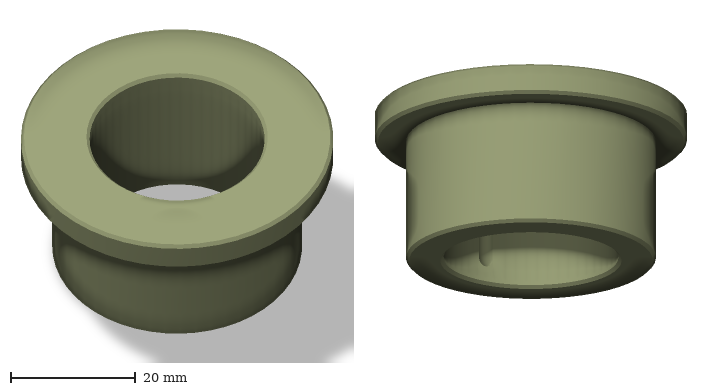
import cadquery as cq

flange_diameter = 50
body_diameter = 40
bore_diameter = 28
total_height = 25
flange_thickness = 5
edge_chamfer = 0.5

groove_radius = 1.25
groove_end_margin = 3

body_height = total_height - flange_thickness


def cylinder(diameter, height, base=0):
    return cq.Workplane("XY").workplane(offset=base).circle(diameter / 2).extrude(height)


def oil_groove():
    """Round-bottomed groove with ball ends, centred on the bore surface."""
    lower_end = groove_end_margin + groove_radius
    upper_end = total_height - lower_end
    cutter = cylinder(2 * groove_radius, upper_end - lower_end, lower_end)
    for end_height in (lower_end, upper_end):
        ball = cq.Workplane("XY").sphere(groove_radius).translate((0, 0, end_height))
        cutter = cutter.union(ball)
    return cutter.translate((bore_diameter / 2, 0, 0))


body = cylinder(body_diameter, body_height).faces("<Z").chamfer(edge_chamfer)
flange = cylinder(flange_diameter, flange_thickness, body_height).edges().chamfer(edge_chamfer)
bushing = body.union(flange).cut(cylinder(bore_diameter, total_height))

bore_edges = cq.selectors.RadiusNthSelector(0)
bushing = bushing.edges(bore_edges).chamfer(edge_chamfer)

result = bushing.cut(oil_groove())